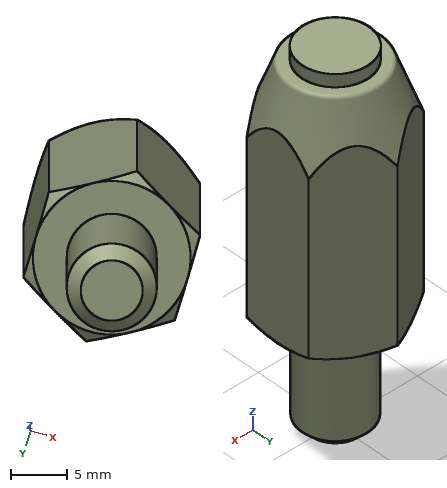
import cadquery as cq
import math

across_flats = 14.0
across_corners = across_flats / math.cos(math.radians(30))
body_height = 28.5

nose_half_angle = 20.0
nose_depth_at_flats = 4.5
nose_edge_fillet = 0.5

corner_chamfer_angle = 30.0
corner_chamfer_start_radius = across_flats / 2

pin_diameter = 8.1
pin_height = 1.5

shank_diameter = 8.0
shank_length = 13.0
shank_chamfer = 1.25


def turned_envelope():
    """Solid of revolution that trims the hexagon to its nose and bottom chamfer."""
    outer_radius = across_corners / 2
    nose_slope = math.tan(math.radians(nose_half_angle))
    nose_top_radius = across_flats / 2 - nose_depth_at_flats * nose_slope
    nose_length = (outer_radius - nose_top_radius) / nose_slope
    chamfer_width = outer_radius - corner_chamfer_start_radius
    chamfer_height = chamfer_width * math.tan(math.radians(corner_chamfer_angle))
    envelope = (
        cq.Workplane("XZ")
        .moveTo(0, 0)
        .lineTo(corner_chamfer_start_radius, 0)
        .lineTo(outer_radius, chamfer_height)
        .lineTo(outer_radius, body_height - nose_length)
        .lineTo(nose_top_radius, body_height)
        .lineTo(0, body_height)
        .close()
        .revolve(360, (0, 0, 0), (0, 1, 0))
    )
    return envelope.faces(">Z").edges().fillet(nose_edge_fillet)


def hexagonal_body():
    """Hexagonal bar with flats facing +X and -X, trimmed by the turned envelope."""
    bar = (
        cq.Workplane("XY")
        .transformed(rotate=(0, 0, 90))
        .polygon(6, across_corners)
        .extrude(body_height)
    )
    return bar.intersect(turned_envelope())


def top_pin():
    return (
        cq.Workplane("XY")
        .workplane(offset=body_height)
        .circle(pin_diameter / 2)
        .extrude(pin_height)
    )


def shank():
    """Round shank with a chamfered lower end."""
    return (
        cq.Workplane("XY")
        .circle(shank_diameter / 2)
        .extrude(-shank_length)
        .faces("<Z")
        .chamfer(shank_chamfer)
    )


result = hexagonal_body().union(top_pin()).union(shank())